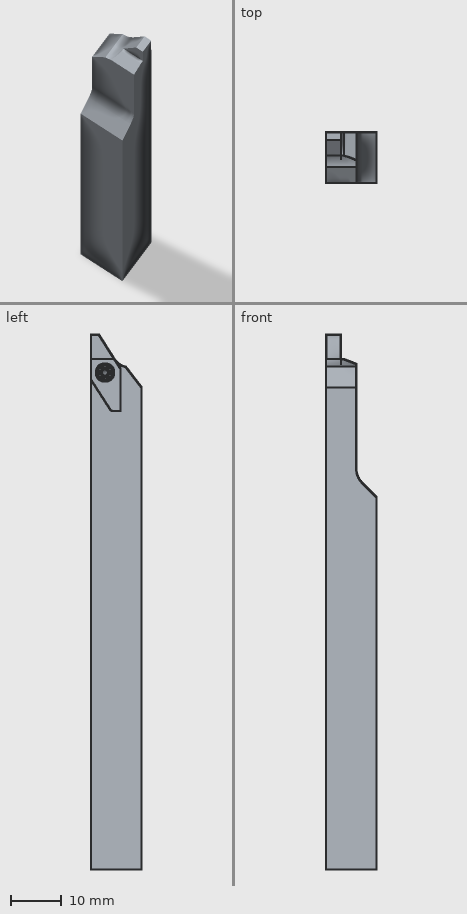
import cadquery as cq

width = 10.0
half = width / 2
tip_z = 105.0

head_width = 6.0
relief_z = 73.1
relief_radius = 4.0
flat_width = 3.6
head_top_drop = 0.9

land_depth = 1.6
flank_end_depth = 4.6
flank_end_z = 100.2
kink_depth = 6.8
kink_z = 98.7
nose_base_z = 94.6

insert_thickness = 2.9
insert_depth = 5.8
insert_base_z = 90.0
insert_base_start = 4.0
insert_side_z = 96.2
insert_corner_radius = 0.8
tip_recess = 0.05

screw_depth = 2.78
screw_z = 97.5
sink_diameter = 3.6
head_diameter = 2.8
screw_diameter = 1.8
head_recess = 0.3
screw_length = 5.5
socket_diameter = 2.1
lobe_diameter = 0.6
socket_depth = 0.6
drill_diameter = 1.3
drill_cone_height = 0.4

left = -half
back = half


def side_sketch():
    """YZ workplane on the rake face, extruding towards +X."""
    return cq.Workplane("YZ", origin=(left, 0, 0))


def nose_blank():
    return (
        side_sketch()
        .moveTo(back, 0)
        .lineTo(back, tip_z)
        .lineTo(back - land_depth, tip_z)
        .lineTo(back - flank_end_depth, flank_end_z)
        .tangentArcPoint((back - kink_depth, kink_z), relative=False)
        .lineTo(-half, nose_base_z)
        .lineTo(-half, 0)
        .close()
        .extrude(width)
    )


def insert_blank():
    """Prism that bounds the insert and the pocket it sits in."""
    corner_y = back - insert_depth
    flank_slope = (tip_z - flank_end_z) / (flank_end_depth - land_depth)
    prism = (
        side_sketch()
        .polyline([
            (back, tip_z),
            (back - land_depth, tip_z),
            (corner_y, tip_z - flank_slope * (insert_depth - land_depth)),
            (corner_y, insert_base_z),
            (back - insert_base_start, insert_base_z),
            (back, insert_side_z),
        ])
        .close()
        .extrude(insert_thickness)
    )
    corner = cq.selectors.NearestToPointSelector(
        (left + insert_thickness / 2, back - insert_base_start, insert_base_z))
    return prism.edges(corner).fillet(insert_corner_radius)


def turned(points):
    """Solid of revolution about the screw axis from (radius, depth) points."""
    plane = cq.Plane(origin=(left, back - screw_depth, screw_z), xDir=(0, 1, 0), normal=(0, 0, 1))
    return (
        cq.Workplane(plane)
        .polyline([(radius, -depth) for radius, depth in points])
        .close()
        .revolve(360, (0, 0), (0, 1))
    )


def screw_profile():
    """Outline of the screw from the rim of its head to the axis at its end."""
    seat_depth = head_recess + (head_diameter - screw_diameter) / 2
    return [
        (head_diameter / 2, head_recess),
        (screw_diameter / 2, seat_depth),
        (screw_diameter / 2, screw_length),
        (0, screw_length),
    ]


def make_screw_hole():
    return turned([(0, 0), (sink_diameter / 2, 0)] + screw_profile())


def make_holder():
    right = left + width
    head_right = left + head_width
    outline = (
        cq.Workplane("XZ", origin=(0, half, 0))
        .polyline([
            (left, 0),
            (right, 0),
            (right, relief_z),
            (head_right, relief_z + width - head_width),
            (head_right, flank_end_z - head_top_drop),
            (left + flat_width, flank_end_z),
            (left, flank_end_z),
        ])
        .close()
        .extrude(width)
    )
    inner_corner = cq.selectors.NearestToPointSelector(
        (head_right, 0, relief_z + width - head_width))
    outline = outline.edges(inner_corner).fillet(relief_radius)
    return outline.intersect(nose_blank()).cut(insert_blank()).cut(screw_hole)


def make_insert():
    body = nose_blank().intersect(insert_blank()).cut(screw_hole)
    step = (
        cq.Workplane("XY", origin=(left, back, flank_end_z))
        .rect(2 * tip_recess, 2 * width)
        .extrude(tip_z - flank_end_z)
    )
    return body.cut(step)


def make_screw():
    screw = turned([(0, head_recess)] + screw_profile())
    socket_plane = cq.Workplane(
        "YZ", origin=(left + head_recess, back - screw_depth, screw_z))
    socket = socket_plane.circle((socket_diameter - lobe_diameter) / 2).extrude(socket_depth)
    lobes = (
        socket_plane
        .polarArray((socket_diameter - lobe_diameter) / 2, 0, 360, 6)
        .circle(lobe_diameter / 2)
        .extrude(socket_depth)
    )
    floor_depth = head_recess + socket_depth
    drill_tip = turned([
        (0, floor_depth),
        (drill_diameter / 2, floor_depth),
        (0, floor_depth + drill_cone_height),
    ])
    return screw.cut(socket).cut(lobes).cut(drill_tip)


screw_hole = make_screw_hole()
holder = make_holder()
insert = make_insert()
screw = make_screw()

result = cq.Compound.makeCompound([
    holder.solids().val(),
    insert.solids().val(),
    screw.solids().val(),
])